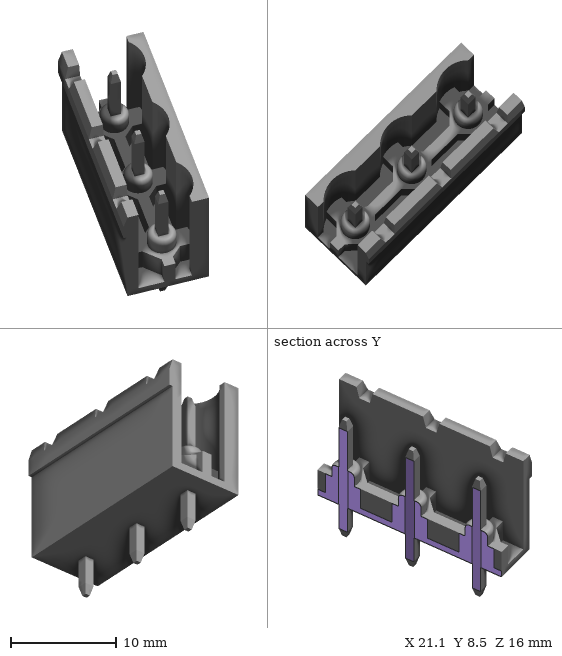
import cadquery as cq


pin_count = 3
pin_pitch = 7.62
pin_width = 1.0
pin_tip_width = 0.5
pin_taper_length = 1.0
pin_bottom = -4.0
pin_top = 10.73

housing_length = 21.05
housing_height = 12.0
floor_thickness = 0.8
back_face = 3.8
back_wall_thickness = 1.7
front_wall_thickness = 1.1
trough_width = 5.3
back_wall_inside = back_face - back_wall_thickness
front_wall_inside = back_wall_inside - trough_width
front_face = front_wall_inside - front_wall_thickness

housing_depth = 8.5
lip_face = back_face - housing_depth
lip_height = 3.0
lip_slope_height = 1.28

notch_depth = lip_slope_height
notch_bottom_width = 1.2
notch_top_width = 1.85

recess_radius = 3.0

platform_top = 3.2
platform_height = platform_top - floor_thickness
rib_back = 0.48
rib_front = -0.63
pad_half_width = 2.05
back_stem_half_width = 1.0
front_stem_half_width = 0.57
pad_back_corner = rib_back + pad_half_width - back_stem_half_width
pad_front_corner = rib_front - (pad_half_width - front_stem_half_width)
stem_overlap = 0.2
back_stem_end = recess_radius + stem_overlap
front_stem_end = front_wall_inside - stem_overlap

collar_diameter = 2.8
collar_top = 4.8
collar_fillet = 0.5

pin_positions = [(i - (pin_count - 1) / 2) * pin_pitch for i in range(pin_count)]


def make_trough():
    """U-shaped channel with the sloped latch lip on its front wall."""
    section = [
        (back_face, 0),
        (back_face, housing_height),
        (back_wall_inside, housing_height),
        (back_wall_inside, floor_thickness),
        (front_wall_inside, floor_thickness),
        (front_wall_inside, housing_height),
        (front_face, housing_height),
        (lip_face, housing_height - lip_slope_height),
        (lip_face, housing_height - lip_height),
        (front_face, housing_height - lip_height),
        (front_face, 0),
    ]
    return cq.Workplane("YZ").polyline(section).close().extrude(housing_length / 2, both=True)


def make_recess(x):
    """Cylinder that scoops the back wall; the front wall lies outside its radius."""
    return (
        cq.Workplane("XY", origin=(x, 0, floor_thickness))
        .circle(recess_radius)
        .extrude(housing_height - floor_thickness)
    )


def make_notch(x):
    """Wedge that cuts through the front wall and lip, wider at the top."""
    notch_bottom = housing_height - notch_depth
    section = [
        (x - notch_bottom_width / 2, notch_bottom),
        (x + notch_bottom_width / 2, notch_bottom),
        (x + notch_top_width / 2, housing_height),
        (x - notch_top_width / 2, housing_height),
    ]
    return (
        cq.Workplane("XZ", origin=(0, front_wall_inside, 0))
        .polyline(section)
        .close()
        .extrude(front_wall_inside - lip_face)
    )


def make_rib():
    """Straight rib along the whole trough."""
    return (
        cq.Workplane("XY", origin=(0, (rib_back + rib_front) / 2, floor_thickness))
        .rect(housing_length, rib_back - rib_front)
        .extrude(platform_height)
    )


def make_pad(x):
    """Pad around one pin, with stems that join it to both walls."""
    right_side = [
        (back_stem_half_width, back_stem_end),
        (back_stem_half_width, pad_back_corner),
        (pad_half_width, rib_back),
        (pad_half_width, rib_front),
        (front_stem_half_width, pad_front_corner),
        (front_stem_half_width, front_stem_end),
    ]
    left_side = [(-across, y) for across, y in reversed(right_side)]
    return (
        cq.Workplane("XY", origin=(x, 0, floor_thickness))
        .polyline(right_side + left_side)
        .close()
        .extrude(platform_height)
    )


def make_collar(x):
    """Round collar on a pad, with a rounded top edge."""
    return (
        cq.Workplane("XY", origin=(x, 0, platform_top))
        .circle(collar_diameter / 2)
        .extrude(collar_top - platform_top)
        .faces(">Z")
        .edges()
        .fillet(collar_fillet)
    )


def make_pin(x):
    """Square pin with a tapered tip at each end."""
    shank_bottom = pin_bottom + pin_taper_length
    shank_top = pin_top - pin_taper_length
    shank = (
        cq.Workplane("XY", origin=(x, 0, shank_bottom))
        .rect(pin_width, pin_width)
        .extrude(shank_top - shank_bottom)
    )
    top_tip = (
        cq.Workplane("XY", origin=(x, 0, shank_top))
        .rect(pin_width, pin_width)
        .workplane(offset=pin_taper_length)
        .rect(pin_tip_width, pin_tip_width)
        .loft(ruled=True)
    )
    bottom_tip = (
        cq.Workplane("XY", origin=(x, 0, pin_bottom))
        .rect(pin_tip_width, pin_tip_width)
        .workplane(offset=pin_taper_length)
        .rect(pin_width, pin_width)
        .loft(ruled=True)
    )
    return shank.union(top_tip).union(bottom_tip)


def make_housing(pins):
    """Trough with recesses, notches, platform and collars, and a matching hole for each pin."""
    housing = make_trough()
    for x in pin_positions:
        housing = housing.cut(make_recess(x)).cut(make_notch(x))
    housing = housing.union(make_rib())
    for x in pin_positions:
        housing = housing.union(make_pad(x)).union(make_collar(x))
    for pin in pins:
        housing = housing.cut(pin)
    return housing


pins = [make_pin(x) for x in pin_positions]
housing = make_housing(pins)

pin_solids = [pin.solids().val() for pin in pins]
result = cq.Compound.makeCompound([housing.solids().val(), *pin_solids])